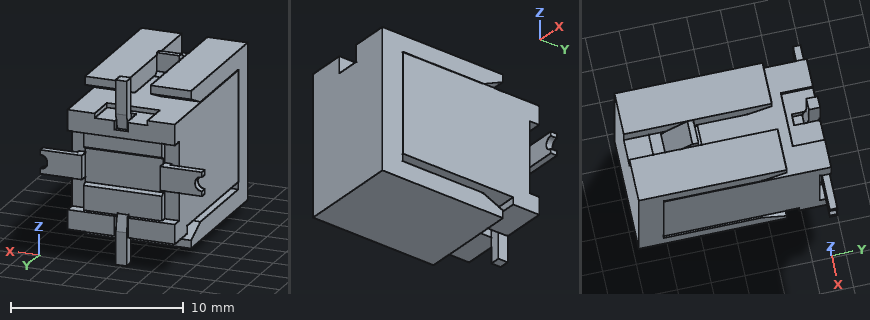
import cadquery as cq
import math

DEPTH = 11.4

HOUSING_WIDTH = 6.7
HOUSING_HEIGHT = 7.39
FRONT_WALL = 1.48
HOUSING_DEPTH = DEPTH - FRONT_WALL
HALF_WIDTH = HOUSING_WIDTH / 2
HALF_HEIGHT = HOUSING_HEIGHT / 2

NOTCH_TOP = 2.39
NOTCH_BOTTOM = -2.47
PAD_DEPTH = 0.27
STRIP_DEPTH = 0.68
STRIP_WIDTH = 0.91
RELIEF_DEPTH = 0.51
RELIEF_FLOOR_HEIGHT = 2.09
RELIEF_MOUTH_HEIGHT = 2.38

POCKET_WIDTH = 3.3
POCKET_LENGTH = 1.9
POCKET_DEPTH = 0.28
STEP_HEIGHT = 0.49
RIB_END = 8.91

LATCH_WIDTH = 1.41
LATCH_HEIGHT = 1.39
LATCH_BACK = 7.05
LATCH_BASE_CHAMFER = 0.25
LATCH_TOP_LENGTH = 0.35
LATCH_RAMP_LENGTH = 1.57

CAP_WIDTH = 6.63
CAP_HEIGHT = 9.72
ARM_LENGTH = 8.78
ARM_TIP = 0.51
ARM_TAPER = 1.45
CAP_SLOT_WIDTH = 1.57

MID_Z = 0.24
TAB_SPAN = 10.09
TAB_HEIGHT = 1.48
TAB_THICKNESS = 0.46
TAB_NOTCH_RADIUS = 0.43

LEAD_SIZE = 0.68
LEAD_HALF_SPAN = 5.7
FOLD_HEIGHT = 3.53
LEAD_ANGLE = math.radians(15)
LEAD_BASE = 2.62
LEAD_SLOT_LENGTH = 1.54
LEAD_SLOT_CHAMFER = 0.09


def block(x_size, y_range, z_range):
    """Box centred on X = 0, between two Y values and two Z values."""
    return (
        cq.Workplane("XY")
        .box(x_size, y_range[1] - y_range[0], z_range[1] - z_range[0], centered=(True, False, False))
        .translate((0, y_range[0], z_range[0]))
    )


def side_profile(points, width):
    """Closed (Y, Z) outline extruded symmetrically about X = 0."""
    return cq.Workplane("YZ").polyline(points).close().extrude(width / 2, both=True)


def make_back_notch():
    """Cutter for the notch across the back: shallow in the middle, deeper along both sides."""
    floor_half = RELIEF_FLOOR_HEIGHT / 2
    mouth_half = RELIEF_MOUTH_HEIGHT / 2
    notch = side_profile(
        [
            (0, NOTCH_TOP),
            (-PAD_DEPTH, NOTCH_TOP),
            (-PAD_DEPTH, MID_Z + mouth_half),
            (-RELIEF_DEPTH, MID_Z + floor_half),
            (-RELIEF_DEPTH, MID_Z - floor_half),
            (-PAD_DEPTH, MID_Z - mouth_half),
            (-PAD_DEPTH, NOTCH_BOTTOM),
            (0, NOTCH_BOTTOM),
        ],
        HOUSING_WIDTH,
    )
    strip = block(STRIP_WIDTH, (-STRIP_DEPTH, 0), (NOTCH_BOTTOM, NOTCH_TOP))
    for side in (-1, 1):
        notch = notch.union(strip.translate((side * (HALF_WIDTH - STRIP_WIDTH / 2), 0, 0)))
    return notch


def make_lead_slot(z_range):
    """Cutter for a lead slot open to the back, with its back corners chamfered."""
    half = LEAD_SIZE / 2
    mouth_half = half + LEAD_SLOT_CHAMFER
    return (
        cq.Workplane("XY")
        .polyline(
            [
                (-mouth_half, 0),
                (-half, -LEAD_SLOT_CHAMFER),
                (-half, -LEAD_SLOT_LENGTH),
                (half, -LEAD_SLOT_LENGTH),
                (half, -LEAD_SLOT_CHAMFER),
                (mouth_half, 0),
            ]
        )
        .close()
        .extrude(z_range[1] - z_range[0])
        .translate((0, 0, z_range[0]))
    )


def make_latch():
    """Latch with a ramp facing the front and a steep back, standing on the housing top."""
    back_wall = -LATCH_BACK - LATCH_BASE_CHAMFER
    ramp_top = back_wall - LATCH_TOP_LENGTH
    top = HALF_HEIGHT + LATCH_HEIGHT
    return side_profile(
        [
            (-LATCH_BACK, HALF_HEIGHT),
            (back_wall, HALF_HEIGHT + LATCH_BASE_CHAMFER),
            (back_wall, top),
            (ramp_top, top),
            (ramp_top - LATCH_RAMP_LENGTH, HALF_HEIGHT),
        ],
        LATCH_WIDTH,
    )


def make_housing():
    body = block(HOUSING_WIDTH, (-HOUSING_DEPTH, 0), (-HALF_HEIGHT, HALF_HEIGHT))
    underside = (-HALF_HEIGHT, -HALF_HEIGHT + STEP_HEIGHT)
    step = block(HOUSING_WIDTH, (-HOUSING_DEPTH, -POCKET_LENGTH), underside)
    rib = block(POCKET_WIDTH, (-RIB_END, -POCKET_LENGTH), underside)
    pocket = block(POCKET_WIDTH, (-POCKET_LENGTH, 0), (HALF_HEIGHT - POCKET_DEPTH, HALF_HEIGHT))
    return (
        body.cut(step)
        .union(rib)
        .cut(pocket)
        .cut(make_back_notch())
        .cut(make_lead_slot((MID_Z + LEAD_BASE, HALF_HEIGHT)))
        .cut(make_lead_slot((-HALF_HEIGHT, MID_Z - LEAD_BASE)))
        .union(make_latch())
    )


def make_cap():
    """U-shaped cap whose two arms grip the housing; the upper arm is slotted for the latch."""
    half = CAP_HEIGHT / 2
    tip = -DEPTH + ARM_LENGTH
    taper_end = tip - ARM_TAPER
    upper = [
        (-DEPTH, half),
        (tip, half),
        (tip, half - ARM_TIP),
        (taper_end, HALF_HEIGHT),
        (-HOUSING_DEPTH, HALF_HEIGHT),
    ]
    lower = [(y, -z) for y, z in reversed(upper)]
    slot = block(CAP_SLOT_WIDTH, (-DEPTH, tip), (HALF_HEIGHT, half))
    return side_profile(upper + lower, CAP_WIDTH).cut(slot)


def make_tab(side):
    """L-shaped tab: a notched plate in the mounting plane and a foot on the strip floor."""
    outer = TAB_SPAN / 2
    inner = HALF_WIDTH - STRIP_WIDTH
    plate = block(outer - inner, (-TAB_THICKNESS, 0), (-TAB_HEIGHT / 2, TAB_HEIGHT / 2))
    foot = block(TAB_THICKNESS, (-STRIP_DEPTH, -TAB_THICKNESS), (-TAB_HEIGHT / 2, TAB_HEIGHT / 2))
    end_notch = (
        cq.Workplane("XZ").center(side * outer, 0).circle(TAB_NOTCH_RADIUS).extrude(TAB_THICKNESS)
    )
    return (
        plate.translate((side * (outer + inner) / 2, 0, 0))
        .union(foot.translate((side * (inner + TAB_THICKNESS / 2), 0, 0)))
        .cut(end_notch)
        .translate((0, 0, MID_Z))
    )


def make_lead(side):
    """Square lead, straight at the tip and slanted inside its slot."""
    back_fold = FOLD_HEIGHT + LEAD_SIZE * math.tan(LEAD_ANGLE / 2)
    slope = math.tan(LEAD_ANGLE)
    outline = [
        (0, LEAD_HALF_SPAN),
        (-LEAD_SIZE, LEAD_HALF_SPAN),
        (-LEAD_SIZE, FOLD_HEIGHT),
        (-LEAD_SIZE - (FOLD_HEIGHT - LEAD_BASE) * slope, LEAD_BASE),
        (-(back_fold - LEAD_BASE) * slope, LEAD_BASE),
        (0, back_fold),
    ]
    return side_profile([(y, MID_Z + side * z) for y, z in outline], LEAD_SIZE)


housing = make_housing()
cap = make_cap()
tabs = [make_tab(side) for side in (-1, 1)]
leads = [make_lead(side) for side in (-1, 1)]

result = cq.Compound.makeCompound(
    [housing.val(), cap.val()] + [tab.val() for tab in tabs] + [lead.val() for lead in leads]
)